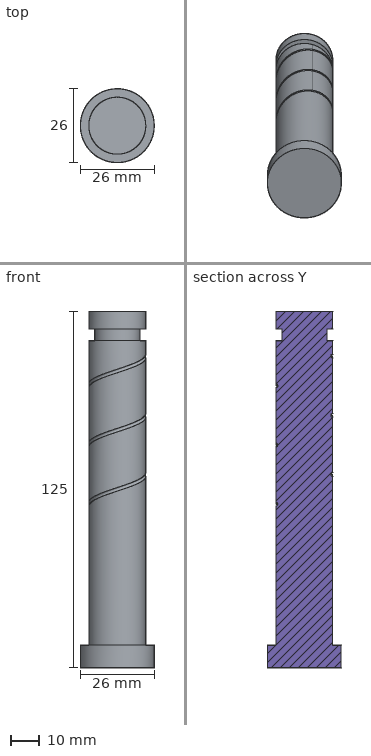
import cadquery as cq

total_height = 125.0
shaft_radius = 10.0
head_radius = 13.0
head_height = 8.0

ring_groove_radius = 8.0
ring_groove_width = 4.0
tip_height = 6.2

helix_pitch = 20.8
helix_turns = 3
helix_start_height = 52.2
helix_start_angle = 90.0
helix_groove_radius = 0.6

ring_groove_top = total_height - tip_height
ring_groove_bottom = ring_groove_top - ring_groove_width


def stepped_pin():
    """Half profile in the XZ plane, revolved about the Z axis."""
    profile = (
        cq.Workplane("XZ")
        .lineTo(head_radius, 0)
        .lineTo(head_radius, head_height)
        .lineTo(shaft_radius, head_height)
        .lineTo(shaft_radius, ring_groove_bottom)
        .lineTo(ring_groove_radius, ring_groove_bottom)
        .lineTo(ring_groove_radius, ring_groove_top)
        .lineTo(shaft_radius, ring_groove_top)
        .lineTo(shaft_radius, total_height)
        .lineTo(0, total_height)
        .close()
    )
    return profile.revolve(360, (0, 0, 0), (0, 1, 0))


def helical_groove_cutter():
    """Round section swept along a helix that lies on the shaft surface."""
    path = cq.Wire.makeHelix(helix_pitch, helix_pitch * helix_turns, shaft_radius)
    cutter = (
        cq.Workplane("XZ")
        .center(shaft_radius, 0)
        .circle(helix_groove_radius)
        .sweep(cq.Workplane(path), isFrenet=True)
    )
    cutter = cutter.rotate((0, 0, 0), (0, 0, 1), helix_start_angle)
    return cutter.translate((0, 0, helix_start_height))


result = stepped_pin().cut(helical_groove_cutter())